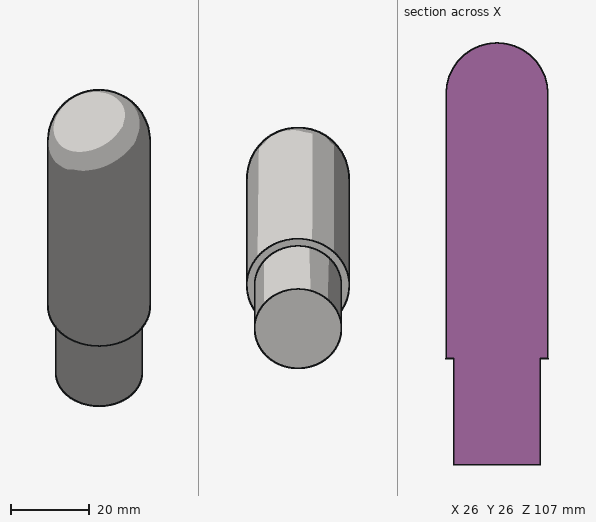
import cadquery as cq

total_height = 107.0
body_diameter = 26.0
shank_diameter = 22.0
shank_length = 27.0

body_radius = body_diameter / 2
body_length = total_height - shank_length

shank = cq.Workplane("XY").circle(shank_diameter / 2).extrude(shank_length)

dome_base = body_length - body_radius
body = (
    cq.Workplane("XZ", origin=(0, 0, shank_length))
    .lineTo(body_radius, 0)
    .lineTo(body_radius, dome_base)
    .radiusArc((0, body_length), -body_radius)
    .close()
    .revolve(360, (0, 0), (0, 1))
)

result = shank.union(body)